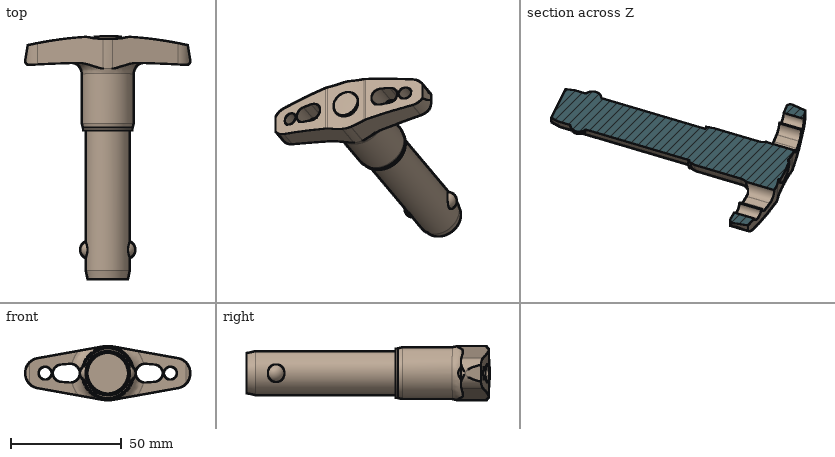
import cadquery as cq
import math


total_length = 110.1

hub_radius = 12.3
end_radius = 6.9
handle_length = 74.8
handle_half_length = handle_length / 2
end_center_x = handle_half_length - end_radius

dip_depth = 1.5
dip_radius = 39.6
crest_x = 9.9
dip_edge_x = 9.0
crest_depth = 0.39
back_mid_x = 23.1
back_mid_depth = 1.8
back_end_x = 36.2
back_end_depth = 4.2
draft_end_depth = 11.2
underside_center_depth = 12.1
underside_end_depth = 13.3
end_edge_fillet = 1.9

hole_center_x = 28.3
hole_radius = 2.9
slot_inner_x = 16.8
slot_inner_radius = 4.2
slot_outer_x = 20.9
slot_outer_radius = 3.9

button_radius = 6.0
button_rim_depth = 0.3

sleeve_radius = 11.8
sleeve_fillet = 4.8
sleeve_taper_depth = 39.5
taper_end_depth = 41.5
taper_end_radius = 11.3
collar_radius = 11.2
collar_end_depth = 42.8

shank_radius = 10.0
tip_radius = 9.1
tip_taper_length = 4.1
ball_depth = 96.7
ball_radius = 4.1
ball_reach = 12.5


def along_pin(sketch, start_depth, end_depth):
    """Extrude an (x, z) sketch function along the pin axis between two depths."""
    plane = cq.Workplane("XZ", origin=(0, -start_depth, 0))
    return sketch(plane).extrude(end_depth - start_depth)


def tapered_oval(plane, inner_x, inner_r, outer_x, outer_r):
    """Two circles on the X axis wrapped by their common tangents (inner_x < outer_x)."""
    tilt = math.asin((inner_r - outer_r) / (outer_x - inner_x))
    inner_tangent = (inner_x + inner_r * math.sin(tilt), inner_r * math.cos(tilt))
    outer_tangent = (outer_x + outer_r * math.sin(tilt), outer_r * math.cos(tilt))
    return (
        plane.moveTo(*inner_tangent)
        .lineTo(*outer_tangent)
        .threePointArc((outer_x + outer_r, 0), (outer_tangent[0], -outer_tangent[1]))
        .lineTo(inner_tangent[0], -inner_tangent[1])
        .threePointArc((inner_x - inner_r, 0), inner_tangent)
        .close()
    )


def both_sides(solid):
    """Add the mirror image across the YZ plane."""
    return solid.union(solid.mirror("YZ"))


def handle_outline(end_depth):
    half = along_pin(
        lambda plane: tapered_oval(plane, 0, hub_radius, end_center_x, end_radius), 0, end_depth
    )
    return both_sides(half).clean()


def handle_bar():
    """Handle profile, left wider than the handle outline in Z so it can be trimmed to it."""
    dip_edge_depth = dip_depth - (dip_radius - math.sqrt(dip_radius**2 - dip_edge_x**2))
    half_width = 2 * hub_radius
    profile = (
        cq.Workplane("XY", origin=(0, 0, -half_width))
        .moveTo(-dip_edge_x, -dip_edge_depth)
        .threePointArc((0, -dip_depth), (dip_edge_x, -dip_edge_depth))
        .lineTo(crest_x, -crest_depth)
        .threePointArc((back_mid_x, -back_mid_depth), (back_end_x, -back_end_depth))
        .lineTo(handle_half_length, -draft_end_depth)
        .lineTo(handle_half_length, -underside_end_depth)
        .threePointArc((0, -underside_center_depth), (-handle_half_length, -underside_end_depth))
        .lineTo(-handle_half_length, -draft_end_depth)
        .lineTo(-back_end_x, -back_end_depth)
        .threePointArc((-back_mid_x, -back_mid_depth), (-crest_x, -crest_depth))
        .close()
    )
    bar = profile.extrude(2 * half_width)
    end_edge_y = -underside_end_depth
    for x in (-handle_half_length, handle_half_length):
        bar = bar.edges(cq.NearestToPointSelector((x, end_edge_y, 0))).fillet(end_edge_fillet)
    return bar


def handle_with_sleeve():
    sleeve_start_depth = underside_center_depth / 2
    sleeve = along_pin(lambda p: p.circle(sleeve_radius), sleeve_start_depth, sleeve_taper_depth)
    body = handle_bar().union(sleeve)
    root = cq.NearestToPointSelector((0, -underside_center_depth, sleeve_radius))
    body = body.edges(root).fillet(sleeve_fillet)
    return body.intersect(handle_outline(sleeve_taper_depth))


def handle_openings():
    through_depth = underside_center_depth + sleeve_fillet
    hole = along_pin(lambda p: p.center(hole_center_x, 0).circle(hole_radius), 0, through_depth)
    slot = along_pin(
        lambda p: tapered_oval(p, slot_inner_x, slot_inner_radius, slot_outer_x, slot_outer_radius),
        0,
        through_depth,
    )
    return both_sides(hole.union(slot))


def pin():
    """Sleeve taper, collar, shank and tapered tip as one turned body."""
    return (
        cq.Workplane("XY")
        .moveTo(0, -sleeve_taper_depth)
        .lineTo(sleeve_radius, -sleeve_taper_depth)
        .lineTo(taper_end_radius, -taper_end_depth)
        .lineTo(collar_radius, -taper_end_depth)
        .lineTo(collar_radius, -collar_end_depth)
        .lineTo(shank_radius, -collar_end_depth)
        .lineTo(shank_radius, -(total_length - tip_taper_length))
        .lineTo(tip_radius, -total_length)
        .lineTo(0, -total_length)
        .close()
        .revolve(360, (0, 0, 0), (0, 1, 0))
    )


def button():
    dome_radius = (button_radius**2 + button_rim_depth**2) / (2 * button_rim_depth)
    mid_x = button_radius / 2
    mid_depth = dome_radius - math.sqrt(dome_radius**2 - mid_x**2)
    return (
        cq.Workplane("XY")
        .moveTo(0, 0)
        .threePointArc((mid_x, -mid_depth), (button_radius, -button_rim_depth))
        .lineTo(button_radius, -underside_center_depth)
        .lineTo(0, -underside_center_depth)
        .close()
        .revolve(360, (0, 0, 0), (0, 1, 0))
    )


def locking_balls():
    ball = cq.Workplane("XY").sphere(ball_radius)
    return both_sides(ball.translate((ball_reach - ball_radius, -ball_depth, 0)))


result = (
    handle_with_sleeve()
    .cut(handle_openings())
    .union(button())
    .union(pin())
    .union(locking_balls())
)